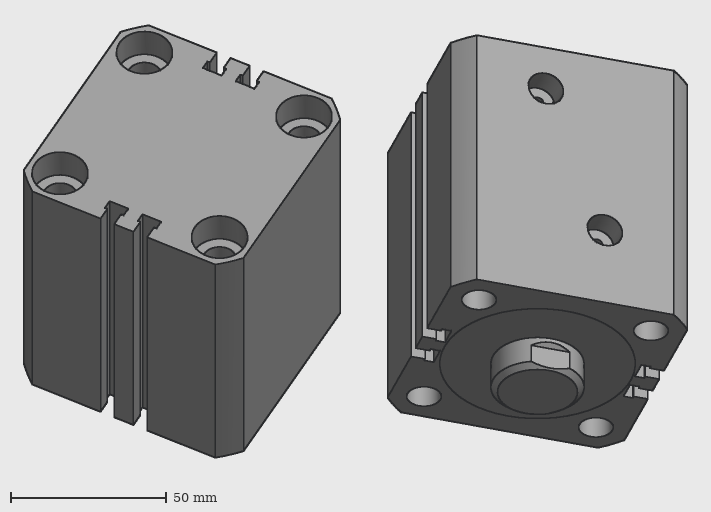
import cadquery as cq
import math

overall_height = 106
width = 80.0
half_width = width / 2
housing_height = 95.0
corner_radius = 52.0

mount_pitch = 58.1
mount_hole_diameter = 11.1
counterbore_diameter = 18.0
counterbore_depth = 11.2

slot_pitch = 12.0
slot_neck_width = 5.0
slot_head_width = 6.8
slot_neck_depth = 4.8
slot_depth = 8.0

bore_diameter = 63.0
bore_top = 80.5
bore_edge_chamfer = 1.1

port_mouth_diameter = 11.8
pipe_taper = 1 / 16
port_depth = 8.5
passage_diameter = 3.9
passage_length = 15.9
port_offset = 10.0
upper_port_height = housing_height - 15.9
lower_port_height = 28.1

cover_height = 26.7
cover_chamfer = 1.1

piston_top = 77.9
piston_height = 20.1
rod_diameter = 30.0
rod_projection = overall_height - housing_height
rod_chamfer_height = 1.8
rod_chamfer_width = 2.1
flat_spacing = 27.0
flat_top = -3.0


def make_block():
    square = cq.Workplane("XY").rect(width, width).extrude(housing_height)
    turned = cq.Workplane("XY").circle(corner_radius).extrude(housing_height)
    return square.intersect(turned)


def cut_mounting_holes(body):
    return (
        body.faces(">Z").workplane(origin=(0, 0, housing_height))
        .rect(mount_pitch, mount_pitch, forConstruction=True).vertices()
        .cboreHole(mount_hole_diameter, counterbore_diameter, counterbore_depth)
    )


def make_slot(x, side):
    """One T-slot, open on the -Y (side = -1) or +Y (side = 1) face."""
    neck = (
        cq.Workplane("XY").center(x, side * (half_width - slot_depth / 2))
        .rect(slot_neck_width, slot_depth).extrude(housing_height)
    )
    head_length = slot_depth - slot_neck_depth
    head = (
        cq.Workplane("XY").center(x, side * (half_width - slot_depth + head_length / 2))
        .rect(slot_head_width, head_length).extrude(housing_height)
    )
    return neck.union(head)


def make_bore():
    return (
        cq.Workplane("XY").circle(bore_diameter / 2).extrude(bore_top + bore_edge_chamfer)
        .faces(">Z").chamfer(bore_edge_chamfer)
    )


def make_port(y, z):
    """One tapered port with its passage, drilled along +X from the -X face."""
    mouth = cq.Workplane("YZ", origin=(-half_width, y, z))
    side_angle = math.degrees(math.atan(pipe_taper / 2))
    cone = mouth.circle(port_mouth_diameter / 2).extrude(port_depth, taper=side_angle)
    passage = mouth.circle(passage_diameter / 2).extrude(passage_length)
    return cone.union(passage)


def make_housing():
    body = cut_mounting_holes(make_block())
    for x in (-slot_pitch / 2, slot_pitch / 2):
        for side in (-1, 1):
            body = body.cut(make_slot(x, side))
    body = body.cut(make_bore())
    body = body.cut(make_port(port_offset, upper_port_height))
    return body.cut(make_port(-port_offset, lower_port_height))


def make_rod_cover():
    return (
        cq.Workplane("XY").circle(bore_diameter / 2).extrude(cover_height)
        .faces(">Z").chamfer(cover_chamfer)
        .cut(cq.Workplane("XY").circle(rod_diameter / 2).extrude(cover_height))
    )


def make_flat_cutter(side):
    """Material removed for one wrench flat; its upper end slopes out at 45 degrees."""
    flat_x = flat_spacing / 2
    outer_x = rod_diameter
    return (
        cq.Workplane("XZ")
        .polyline([
            (side * flat_x, -rod_projection),
            (side * flat_x, flat_top),
            (side * outer_x, flat_top + outer_x - flat_x),
            (side * outer_x, -rod_projection),
        ])
        .close().extrude(rod_diameter / 2, both=True)
    )


def make_piston_rod():
    rod_radius = rod_diameter / 2
    rod = (
        cq.Workplane("XY", origin=(0, 0, -rod_projection)).circle(rod_radius)
        .extrude(rod_projection + piston_top)
        .faces("<Z").chamfer(rod_chamfer_height, rod_chamfer_width)
    )
    for side in (-1, 1):
        rod = rod.cut(make_flat_cutter(side))
    piston = (
        cq.Workplane("XY", origin=(0, 0, piston_top - piston_height)).circle(bore_diameter / 2)
        .extrude(piston_height)
    )
    return rod.union(piston)


housing = make_housing()
rod_cover = make_rod_cover()
piston_rod = make_piston_rod()

result = cq.Compound.makeCompound([housing.val(), rod_cover.val(), piston_rod.val()])